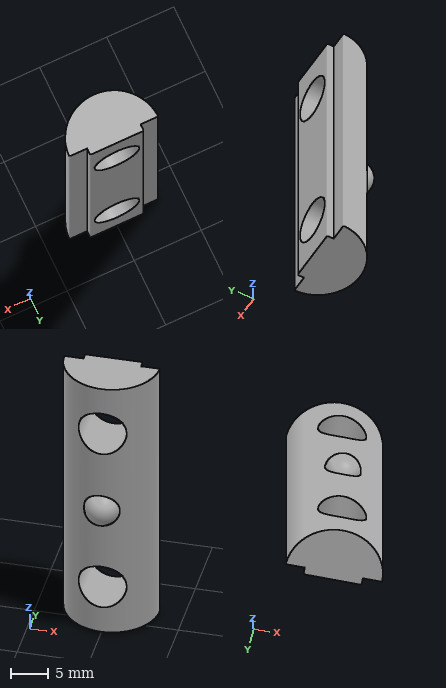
import cadquery as cq
import math

length = 40.0
body_depth = 7.5
front_radius = 6.65

tongue_width = 8.0
tongue_height = 1.0
edge_radius = 0.2

hole_diameter = 6.65
hole_spacing = 25.2

ball_diameter = 5.0
overall_depth = 9.28

front_depth = body_depth - tongue_height
front_center_y = front_radius - front_depth
shelf_half_width = math.sqrt(front_radius**2 - front_center_y**2)
ball_center_y = tongue_height - overall_depth + ball_diameter / 2


def make_body():
    """Extrude the half-round profile with its tongue and round the long outer edges."""
    half_tongue = tongue_width / 2
    body = (
        cq.Workplane("XY")
        .workplane(offset=-length / 2)
        .moveTo(-shelf_half_width, 0)
        .threePointArc((0, -front_depth), (shelf_half_width, 0))
        .lineTo(half_tongue, 0)
        .lineTo(half_tongue, tongue_height)
        .lineTo(-half_tongue, tongue_height)
        .lineTo(-half_tongue, 0)
        .close()
        .extrude(length)
    )
    tongue_rounded = body.edges("|Z and >Y").fillet(edge_radius)
    return tongue_rounded.edges("|Z and (<X or >X)").fillet(edge_radius)


def make_holes():
    """Two cylinders running through the body along Y."""
    return (
        cq.Workplane("XZ")
        .pushPoints([(0, -hole_spacing / 2), (0, hole_spacing / 2)])
        .circle(hole_diameter / 2)
        .extrude(overall_depth, both=True)
    )


def make_ball():
    """Ball at mid-length, partly sunk into the rounded front."""
    return cq.Workplane("XY").sphere(ball_diameter / 2).translate((0, ball_center_y, 0))


result = make_body().cut(make_holes()).union(make_ball())